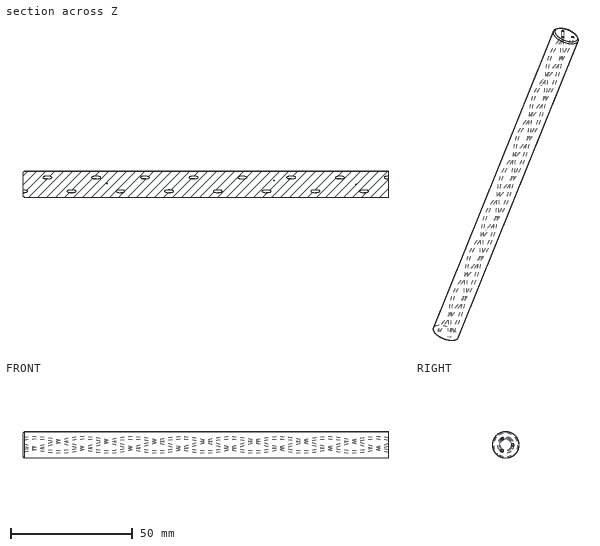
import cadquery as cq
import math

length = 150.0
diameter = 11.0
chamfer = 0.6

hole_count = 3
hole_diameter = 1.0
hole_circle_radius = 2.8
first_hole_angle = 180.0
twist_pitch = 60.0


def make_rod():
    """Round rod centred on the origin with its -X end chamfered."""
    rod = cq.Workplane("YZ").circle(diameter / 2).extrude(length)
    rod = rod.translate((-length / 2, 0, 0))
    return rod.faces("<X").chamfer(chamfer)


def hole_centres():
    """Evenly spaced (y, z) hole centres around the rod axis."""
    centres = []
    for index in range(hole_count):
        angle = math.radians(first_hole_angle + index * 360.0 / hole_count)
        y = hole_circle_radius * math.cos(angle)
        z = hole_circle_radius * math.sin(angle)
        centres.append((y, z))
    return centres


def make_holes():
    """Spiral cutters spanning the full length of the rod."""
    twist_angle = 360.0 * length / twist_pitch
    holes = cq.Workplane("YZ").pushPoints(hole_centres())
    holes = holes.circle(hole_diameter / 2).twistExtrude(length, twist_angle)
    return holes.translate((-length / 2, 0, 0))


result = make_rod().cut(make_holes())